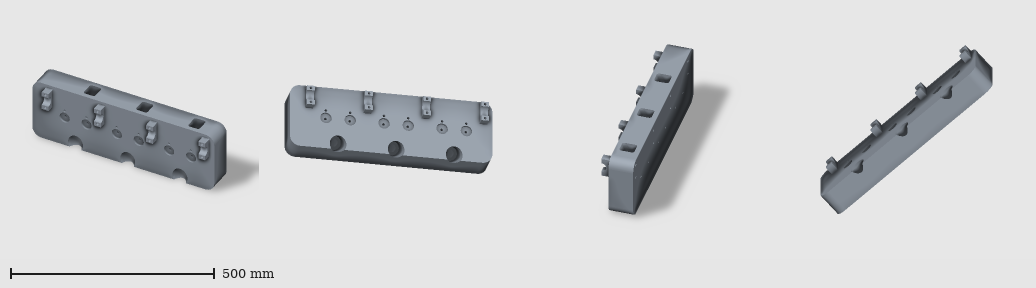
import cadquery as cq
import math

LENGTH = 508.0
HEIGHT = 165.0
THICKNESS = 63.5
CORNER_RADIUS = 25.5

STATION_COUNT = 3
STATION_PITCH = 146.0
FIRST_CRADLE_X = 48.0
FIRST_STATION_X = FIRST_CRADLE_X + STATION_PITCH / 2

CRADLE_WIDTH = 19.5
CRADLE_HEIGHT = 51.0
CRADLE_REACH = 22.5
CRADLE_TOP_GAP = 9.0
CRADLE_CENTRE_Z = HEIGHT - CRADLE_TOP_GAP - CRADLE_HEIGHT / 2
GROOVE_RADIUS = 12.5
CRADLE_LIP = CRADLE_HEIGHT / 2 - GROOVE_RADIUS
CRADLE_HOLE_OFFSET = GROOVE_RADIUS + CRADLE_LIP / 2
SMALL_HOLE_DIAMETER = 6.5

BORE_SPACING = 61.0
BORE_CENTRE_Z = HEIGHT / 2
COUNTERBORE_DIAMETER = 28.5
COUNTERBORE_DEPTH = 6.0
PIN_RISE = 20.5
PIN_HOLE_DEPTH = 12.5

OUTLET_MOUTH_RADIUS = 21.0
OUTLET_END_RADIUS = 18.0
OUTLET_RISE_ANGLE = 28.0
OUTLET_MOUTH_Z = 14.5
OUTLET_DEPTH = 59.5

CHUTE_WIDTH = 32.0
CHUTE_DEPTH = 38.0
CHUTE_CORNER_RADIUS = 6.0
CHUTE_CENTRE_Y = 31.0
WAIST_WIDTH = 31.5
WAIST_DEPTH = 15.0
WAIST_SHIFT = 10.0
WAIST_CENTRE_Y = 52.0
WAIST_Z = 86.5
WAIST_BACK_SLOPE = 0.5
CHUTE_EXIT_SIZE = 19.5
CHUTE_EXIT_CORNER_RADIUS = 9.0

OVERLAP = 2.5


def front_hole(x, z, diameter, start_y, depth):
    """Cylinder running in +Y from start_y."""
    axis = cq.Vector(0, 1, 0)
    return cq.Workplane(cq.Solid.makeCylinder(diameter / 2, depth, cq.Vector(x, start_y, z), axis))


def rounded_rectangle(plane, width, depth, radius):
    """Closed wire of a rounded rectangle centred on the plane's origin."""
    outline = cq.Sketch().rect(width, depth).vertices().fillet(radius)
    return cq.Workplane(plane).placeSketch(outline)._getFaces()[0].outerWire()


def make_block():
    block = cq.Workplane().box(LENGTH, THICKNESS, HEIGHT, centered=False)
    return block.edges("|Y").fillet(CORNER_RADIUS)


def make_cradle(x):
    body = cq.Workplane().box(CRADLE_WIDTH, CRADLE_REACH + OVERLAP, CRADLE_HEIGHT)
    body = body.translate((x, (OVERLAP - CRADLE_REACH) / 2, CRADLE_CENTRE_Z))
    groove = (
        cq.Workplane("YZ", origin=(x, -CRADLE_REACH, CRADLE_CENTRE_Z))
        .circle(GROOVE_RADIUS)
        .extrude(CRADLE_WIDTH, both=True)
    )
    return body.cut(groove)


def cut_cradle_holes(part, x):
    for offset in (-CRADLE_HOLE_OFFSET, CRADLE_HOLE_OFFSET):
        z = CRADLE_CENTRE_Z + offset
        length = CRADLE_REACH + THICKNESS
        part = part.cut(front_hole(x, z, SMALL_HOLE_DIAMETER, -CRADLE_REACH, length))
    return part


def cut_bore(part, x):
    part = part.cut(front_hole(x, BORE_CENTRE_Z, COUNTERBORE_DIAMETER, 0, COUNTERBORE_DEPTH))
    part = part.cut(front_hole(x, BORE_CENTRE_Z, SMALL_HOLE_DIAMETER, 0, THICKNESS))
    return part.cut(front_hole(x, BORE_CENTRE_Z + PIN_RISE, SMALL_HOLE_DIAMETER, 0, PIN_HOLE_DEPTH))


def outlet_axis():
    rise = math.radians(OUTLET_RISE_ANGLE)
    return cq.Vector(0, math.cos(rise), math.sin(rise))


def make_outlet(x):
    """Cone widening towards the front and running out past the front face."""
    axis = outlet_axis()
    mouth = cq.Vector(x, 0, OUTLET_MOUTH_Z)
    lead = 2 * OUTLET_MOUTH_RADIUS
    taper = (OUTLET_MOUTH_RADIUS - OUTLET_END_RADIUS) / OUTLET_DEPTH
    lead_radius = OUTLET_MOUTH_RADIUS + taper * lead
    return cq.Workplane(
        cq.Solid.makeCone(lead_radius, OUTLET_END_RADIUS, lead + OUTLET_DEPTH, mouth - axis * lead, axis)
    )


def make_chute(inlet_x, outlet_x):
    """Smooth loft from the top face, through the waist, to the flat end of the outlet."""
    across = (1, 0, 0)
    axis = outlet_axis()
    exit_centre = cq.Vector(outlet_x, 0, OUTLET_MOUTH_Z) + axis * OUTLET_DEPTH
    waist_centre = (inlet_x - WAIST_SHIFT, WAIST_CENTRE_Y, WAIST_Z)
    inlet_plane = cq.Plane((inlet_x, CHUTE_CENTRE_Y, HEIGHT), across, (0, 0, 1))
    waist_plane = cq.Plane(waist_centre, across, (0, -WAIST_BACK_SLOPE, 1))
    exit_plane = cq.Plane(exit_centre, across, axis)
    sections = [
        rounded_rectangle(inlet_plane, CHUTE_WIDTH, CHUTE_DEPTH, CHUTE_CORNER_RADIUS),
        rounded_rectangle(waist_plane, WAIST_WIDTH, WAIST_DEPTH, CHUTE_CORNER_RADIUS),
        rounded_rectangle(exit_plane, CHUTE_EXIT_SIZE, CHUTE_EXIT_SIZE, CHUTE_EXIT_CORNER_RADIUS),
    ]
    return cq.Workplane(cq.Solid.makeLoft(sections))


result = make_block()
for index in range(STATION_COUNT + 1):
    cradle_x = FIRST_CRADLE_X + index * STATION_PITCH
    result = result.union(make_cradle(cradle_x))
    result = cut_cradle_holes(result, cradle_x)

for index in range(STATION_COUNT):
    station_x = FIRST_STATION_X + index * STATION_PITCH
    right_bore_x = station_x + BORE_SPACING / 2
    result = result.cut(make_outlet(station_x))
    result = result.cut(make_chute(right_bore_x, station_x))
    result = cut_bore(result, right_bore_x - BORE_SPACING)
    result = cut_bore(result, right_bore_x)